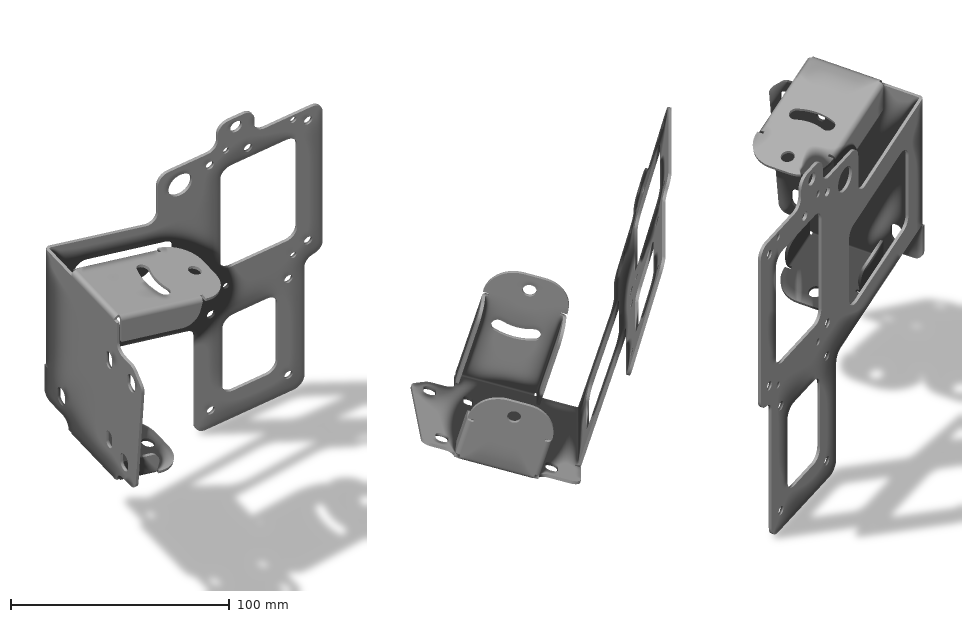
import cadquery as cq
import math

sheet = 1.5
bend_radius = 2.3
relief_width = 1.3

plate_depth = 151.5
plate_height = 189.0
shoulder_z = 173.9
shoulder_y = 61.2
block_bottom_back_z = 81.0
block_bottom_leg_z = 79.4
leg_front_y = 81.6
leg_back_y = 141.5
tab_y = 104.1
tab_width = 20.0
tab_hole_z = 183.1
arm_top_z = 160.8
arm_bottom_z = 88.5
slope = math.radians(15)
corner_radius = 6.0
step_radius = 5.7
notch_radius = 5.1

mount_hole = 4.5
pilot_hole = 3.4
pivot_hole = 6.5
cable_hole = 12.9
cable_hole_y, cable_hole_z = 73.5, 162.4
upper_mount_y = (143.6, 89.8)
upper_mount_z = (166.1, 90.2)
extra_mount_y = 110.8
lower_mount_y = (132.9, 90.3)
lower_mount_z = (71.5, 10.8)
pilot_y = (135.5, 98.7)
pilot_z = (170.9, 85.2)

upper_window_y = (95.5, 137.5)
upper_window_z = (96.0, 160.3)
lower_window_y = (96.5, 126.8)
lower_window_z = (17.0, 65.4)
arm_window_y = (14.7, 69.7)
arm_border = 12.5

front_width = 80.9
front_top_z = 160.5
front_bottom_z = 61.2
ear_top_z = 142.9
ear_bottom_z = 66.5
ear_chamfer = 8.0
ear_lower_x = 75.5
ear_radius = 5.0
relief_depth = 2.8
slot_length = 10.0
narrow_slot = 4.5
wide_slot = 6.0
narrow_slot_places = [(53.7, 132.0), (53.7, 81.8)]
wide_slot_places = [(72.0, 132.0), (66.2, 77.3), (14.0, 77.3)]

flange_x = 40.0
flange_width = 40.0
top_flange_length = 63.1
bottom_flange_length = 37.5
flange_end_radius = 15.0
flange_hole_inset = 8.1
lip_inset = 16.8
lip_front_y = 2.6
top_lip_height = 15.0
top_lip_radius = 8.0
bottom_lip_height = 12.1
bottom_lip_radius = 6.0
flange_relief_extra = 0.8
arc_slot_radius = 25.0
arc_slot_half_angle = math.radians(20)

flange_half = flange_width / 2
flat_half = flange_half - bend_radius


def rounded_outline(plane, corners):
    """Closed wire through (x, y, radius) corners; radius 0 keeps a corner sharp."""
    count = len(corners)
    arcs = []
    for i, (x, y, radius) in enumerate(corners):
        corner = cq.Vector(x, y)
        before = (cq.Vector(*corners[i - 1][:2]) - corner).normalized()
        after = (cq.Vector(*corners[(i + 1) % count][:2]) - corner).normalized()
        half_angle = before.getAngle(after) / 2
        reach = radius / math.tan(half_angle)
        middle_reach = radius / math.sin(half_angle) - radius
        bisector = (before + after).normalized()
        points = [corner + before * reach, corner + bisector * middle_reach, corner + after * reach]
        arcs.append((radius, [(p.x, p.y) for p in points]))

    wire = cq.Workplane(plane).moveTo(*arcs[0][1][2])
    for radius, (start, middle, end) in arcs[1:] + arcs[:1]:
        if radius == 0:
            wire = wire.lineTo(*start)
        else:
            wire = wire.lineTo(*start).threePointArc(middle, end)
    return wire.close()


def window(y_range, z_range):
    """Cutter for a rectangular window of the side plate."""
    (y0, y1), (z0, z1) = y_range, z_range
    corners = [(y, z, corner_radius) for y, z in ((y0, z0), (y1, z0), (y1, z1), (y0, z1))]
    return rounded_outline("YZ", corners).extrude(sheet)


def holes(plane, places, diameter, depth):
    return cq.Workplane(plane).pushPoints(places).circle(diameter / 2).extrude(depth)


def grid(columns, rows):
    return [(column, row) for column in columns for row in rows]


def bend(plane, start_degrees, end_degrees, length):
    """Ring sector about the plane's origin, extruded along its normal."""
    start = math.radians(start_degrees)
    end = math.radians(end_degrees)

    def point(radius, angle):
        return radius * math.cos(angle), radius * math.sin(angle)

    inner = bend_radius - sheet
    middle = (start + end) / 2
    return (
        cq.Workplane(plane)
        .moveTo(*point(bend_radius, start))
        .threePointArc(point(bend_radius, middle), point(bend_radius, end))
        .lineTo(*point(inner, end))
        .threePointArc(point(inner, middle), point(inner, start))
        .close()
        .extrude(length)
    )


def arm_z(z_at_front, y):
    """Height of a sloping arm edge at depth y."""
    return z_at_front - y * math.tan(slope)


def side_plate():
    tab_front = tab_y - tab_width / 2
    tab_back = tab_y + tab_width / 2
    plate = rounded_outline("YZ", [
        (bend_radius, front_top_z, 0),
        (shoulder_y, arm_z(arm_top_z, shoulder_y), notch_radius),
        (shoulder_y, shoulder_z, corner_radius),
        (tab_front, shoulder_z, step_radius),
        (tab_front, plate_height, corner_radius),
        (tab_back, plate_height, corner_radius),
        (tab_back, shoulder_z, step_radius),
        (plate_depth, shoulder_z, corner_radius),
        (plate_depth, block_bottom_back_z, step_radius),
        (leg_back_y, block_bottom_leg_z, step_radius),
        (leg_back_y, 0, corner_radius),
        (leg_front_y, 0, corner_radius),
        (leg_front_y, arm_z(arm_bottom_z, leg_front_y), corner_radius),
        (bend_radius, arm_z(arm_bottom_z, bend_radius), 0),
    ]).extrude(sheet)

    front, back = arm_window_y
    top = arm_top_z - arm_border
    bottom = arm_bottom_z + arm_border
    arm_window = rounded_outline("YZ", [
        (front, arm_z(top, front), corner_radius),
        (back, arm_z(top, back), corner_radius),
        (back, arm_z(bottom, back), corner_radius),
        (front, arm_z(bottom, front), corner_radius),
    ]).extrude(sheet)

    mount_places = grid(upper_mount_y, upper_mount_z) + grid(lower_mount_y, lower_mount_z)
    mount_places.append((extra_mount_y, upper_mount_z[0]))
    return (
        plate.cut(arm_window)
        .cut(window(upper_window_y, upper_window_z))
        .cut(window(lower_window_y, lower_window_z))
        .cut(holes("YZ", mount_places, mount_hole, sheet))
        .cut(holes("YZ", grid(pilot_y, pilot_z), pilot_hole, sheet))
        .cut(holes("YZ", [(tab_y, tab_hole_z)], pivot_hole, sheet))
        .cut(holes("YZ", [(cable_hole_y, cable_hole_z)], cable_hole, sheet))
    )


def plate_bend():
    """Vertical bend joining the side plate and the front plate."""
    bottom = arm_z(arm_bottom_z, bend_radius)
    plane = cq.Plane((bend_radius, bend_radius, bottom), xDir=(1, 0, 0), normal=(0, 0, 1))
    return bend(plane, 180, 270, front_top_z - bottom)


def front_plate():
    r = ear_radius
    left = flange_x - flange_half
    right = flange_x + flange_half
    bend_bottom = arm_z(arm_bottom_z, bend_radius)
    relief_bottom = bend_bottom - relief_width
    plate = rounded_outline("XZ", [
        (bend_radius, front_top_z, 0),
        (right, front_top_z, 0),
        (right, ear_top_z, r),
        (front_width - ear_chamfer, ear_top_z, r),
        (front_width, ear_top_z - ear_chamfer, r),
        (ear_lower_x, ear_bottom_z, r),
        (right, ear_bottom_z, r),
        (right, front_bottom_z, 0),
        (left, front_bottom_z, 0),
        (left, ear_bottom_z, r),
        (0, ear_bottom_z, r),
        (0, relief_bottom, 0),
        (relief_depth, relief_bottom, 0),
        (relief_depth, bend_bottom, 0),
        (bend_radius, bend_bottom, 0),
    ]).extrude(-sheet)
    for places, width in ((narrow_slot_places, narrow_slot), (wide_slot_places, wide_slot)):
        slots = cq.Workplane("XZ").pushPoints(places).slot2D(slot_length, width, 90).extrude(-sheet)
        plate = plate.cut(slots)
    return plate


def flange_plane(bend_z, up):
    """Outer face of a flange: local Y runs away from the front plate, local Z points outward."""
    normal = cq.Vector(0, up * math.sin(slope), up * math.cos(slope))
    bend_centre = cq.Vector(flange_x, bend_radius, bend_z)
    return cq.Plane(bend_centre + normal * bend_radius, xDir=(up, 0, 0), normal=normal)


def flange_lips(plane, lip_end, lip_height, lip_radius):
    """Two side lips bent inward along the flange, trimmed clear of the front plate."""
    start = -lip_height
    length = lip_end - start
    bend_plane = cq.Plane(
        plane.toWorldCoords((flat_half, start, -bend_radius)), xDir=plane.xDir, normal=plane.yDir
    )
    side_plane = cq.Plane(
        plane.toWorldCoords((flange_half - sheet, 0, 0)), xDir=plane.yDir, normal=plane.xDir
    )
    lip = rounded_outline(side_plane, [
        (start, -bend_radius, 0),
        (lip_end, -bend_radius, 0),
        (lip_end, -lip_height, lip_radius),
        (start, -lip_height, 0),
    ]).extrude(sheet)
    lip = lip.union(bend(bend_plane, 0, -90, length))
    trim_size = 2 * plate_height
    trim = cq.Workplane("XY").box(trim_size, trim_size, trim_size).translate(
        (0, lip_front_y - trim_size / 2, 0)
    )
    return lip.union(lip.mirror("YZ", plane.origin)).cut(trim)


def flange(bend_z, up, length, lip_height, lip_radius):
    """Lipped flange with its bend; up is 1 above the front plate and -1 below it."""
    plane = flange_plane(bend_z, up)
    lip_end = length - lip_inset
    relief_end = lip_end + relief_width
    relief_half = flat_half - flange_relief_extra
    right_side = [
        (flat_half, 0, 0),
        (flat_half, lip_end, 0),
        (relief_half, lip_end, 0),
        (relief_half, relief_end, 0),
        (flange_half, relief_end, 0),
        (flange_half, length, flange_end_radius),
    ]
    left_side = [(-x, y, radius) for x, y, radius in reversed(right_side)]
    flat = rounded_outline(plane, right_side + left_side).extrude(-sheet)
    flat = flat.cut(holes(plane, [(0, length - flange_hole_inset)], pivot_hole, -sheet))

    normal_degrees = 180 - up * 90 - math.degrees(slope)
    bend_plane = cq.Plane(
        (flange_x - flat_half, bend_radius, bend_z), xDir=(0, 1, 0), normal=(1, 0, 0)
    )
    front_bend = bend(bend_plane, 180, normal_degrees, 2 * flat_half)
    lips = flange_lips(plane, lip_end, lip_height, lip_radius)
    return flat.union(front_bend).union(lips)


def arc_slot():
    """Cutter for the curved slot centred on the hole of the top flange."""
    plane = flange_plane(front_top_z, 1)
    centre_y = top_flange_length - flange_hole_inset
    inner = arc_slot_radius - pivot_hole / 2
    outer = arc_slot_radius + pivot_hole / 2

    def point(radius, angle):
        return radius * math.sin(angle), centre_y - radius * math.cos(angle)

    a = arc_slot_half_angle
    ends = [point(arc_slot_radius, -a), point(arc_slot_radius, a)]
    band = (
        cq.Workplane(plane)
        .moveTo(*point(outer, -a))
        .threePointArc(point(outer, 0), point(outer, a))
        .lineTo(*point(inner, a))
        .threePointArc(point(inner, 0), point(inner, -a))
        .close()
        .extrude(-sheet)
    )
    return band.union(holes(plane, ends, pivot_hole, -sheet))


top_flange = flange(front_top_z, 1, top_flange_length, top_lip_height, top_lip_radius)
bottom_flange = flange(
    front_bottom_z, -1, bottom_flange_length, bottom_lip_height, bottom_lip_radius
)

result = (
    side_plate()
    .union(plate_bend())
    .union(front_plate())
    .union(top_flange.cut(arc_slot()))
    .union(bottom_flange)
)